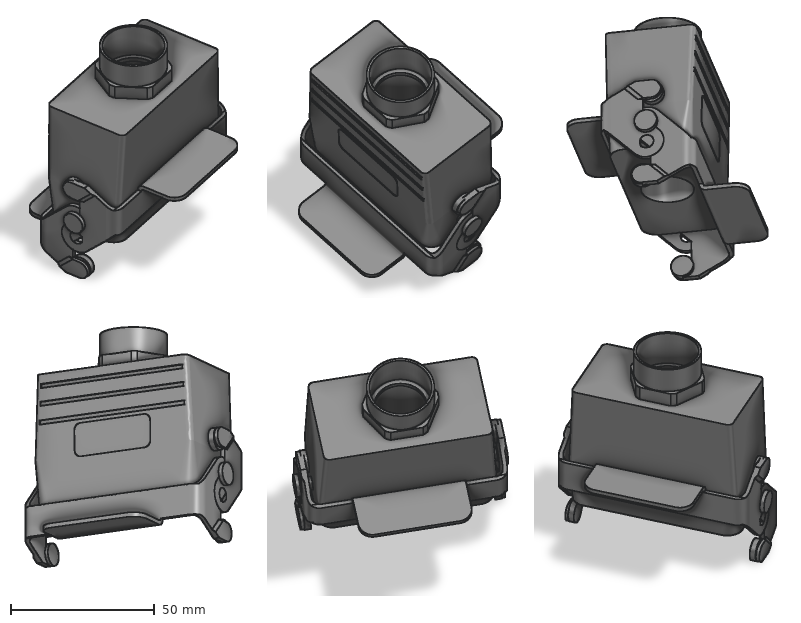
import cadquery as cq
import math

hood_height = 47.8
shoulder_height = 17.0
top_half_x = 16.15
bottom_half_x = 14.8
top_half_y = 29.95
bottom_half_y = 31.4
top_corner_radius = 1.95
bottom_corner_radius = 5.6
entry_diameter = 18.5

groove_tops = (44.4, 38.0, 31.35)
groove_width = 1.5
groove_floor_x = -15.2
badge_length = 30.1
badge_height = 12.0
badge_bottom = 16.5
badge_radius = 2.4
badge_depth = 0.15

pin_height = 7.45
pin_diameter = 4.7
pin_head_diameter = 8.0
pin_head_thickness = 1.6
pin_root_depth = 1.6
pin_head_span = 75.0
pin_reach = pin_head_span / 2

gland_top = 61.9
hex_height = 5.0
hex_across_flats = 24.2
hex_rounding_diameter = 26.8
sleeve_diameter = 23.6
sleeve_bore = 21.8
gland_floor_thickness = 1.6

sheet = 1.6
lever_half_y = 35.5
band_x = -16.9
band_top = -6.9
band_bottom = -17.9
bend_radius = 4.4
lobe_radius = 6.1
pivot_hole_diameter = 5.0
plate_edge_x = -1.4
slant_start_x = -15.1
hook_flat_x = -3.9
hook_center_x = 1.7
hook_radius = 3.45
hook_bottom = -23.9
pad_height = 0.7
ramp_run = 1.4
ramp_offset = -13.95
stop_diameter = 8.0
stop_inner_y = 32.8
stop_thickness = 2.2

handle_span = 65.0
handle_half_y = 20.1
handle_corner_radius = 5.0
handle_bend_radius = 0.95

lever_turn_height = pin_height / 2

diagonal = math.sqrt(0.5)
handle_reach = handle_span / 2
lobe_tangent = lobe_radius * diagonal
hook_center_z = hook_bottom + hook_radius
hook_top = hook_bottom + 2 * hook_radius


def wall_half_x(z):
    """Half width of the hood in X at height z."""
    return bottom_half_x + (top_half_x - bottom_half_x) * z / hood_height


def rounded_rectangle(half_x, half_y, radius):
    """Sketch of a rectangle about the origin with rounded corners."""
    return cq.Sketch().rect(2 * half_x, 2 * half_y).vertices().fillet(radius)


def tapered_block(lower, upper, z_low, z_high):
    """Loft between two rounded rectangles."""
    lower_placed = lower.moved(cq.Location(cq.Vector(0, 0, z_low)))
    upper_placed = upper.moved(cq.Location(cq.Vector(0, 0, z_high)))
    return cq.Workplane("XY").placeSketch(lower_placed, upper_placed).loft(ruled=True)


def y_cylinder(x, z, diameter, y_start, y_end):
    """Round bar along Y."""
    return (
        cq.Workplane("XZ", origin=(x, y_start, z))
        .circle(diameter / 2)
        .extrude(y_start - y_end)
    )


def z_cylinder(diameter, z_start, z_end):
    """Round bar along the cable entry axis."""
    return cq.Workplane("XY").workplane(offset=z_start).circle(diameter / 2).extrude(z_end - z_start)


def make_grooves():
    """Cutters with one upright floor, so the grooves get shallower down the leaning wall."""
    outer_x = -2 * top_half_x
    grooves = cq.Workplane("XY")
    for groove_top in groove_tops:
        taper = (hood_height - groove_top) / (hood_height - shoulder_height)
        half_y = top_half_y + (bottom_half_y - top_half_y) * taper - top_corner_radius
        groove = (
            cq.Workplane("XY", origin=(outer_x, 0, groove_top - groove_width))
            .box(groove_floor_x - outer_x, 2 * half_y, groove_width, centered=(False, True, False))
        )
        grooves = grooves.add(groove)
    return grooves.combine()


def make_badge():
    """Shallow rounded pocket that follows the lean of the -X wall."""
    middle_z = badge_bottom + badge_height / 2
    lean = math.atan2(top_half_x - bottom_half_x, hood_height)
    plane = cq.Plane(
        origin=(-wall_half_x(middle_z), 0, middle_z),
        xDir=(0, 1, 0),
        normal=(math.cos(lean), 0, math.sin(lean)),
    )
    outline = cq.Sketch().rect(badge_length, badge_height).vertices().fillet(badge_radius)
    return cq.Workplane(plane).workplane(offset=-badge_depth).placeSketch(outline).extrude(2 * badge_depth)


def add_pins(body):
    """Headed locking pin on the middle of each end wall."""
    root_y = bottom_half_y - pin_root_depth
    head_inner_y = pin_reach - pin_head_thickness
    for side in (-1, 1):
        shank = y_cylinder(0, pin_height, pin_diameter, side * root_y, side * pin_reach)
        head = y_cylinder(0, pin_height, pin_head_diameter, side * head_inner_y, side * pin_reach)
        body = body.union(shank).union(head)
    return body


def make_housing():
    """Tapered hood with its two locking pins and the cable entry hole."""
    shoulder_half_x = wall_half_x(shoulder_height)
    bottom = rounded_rectangle(bottom_half_x, bottom_half_y, bottom_corner_radius)
    shoulder = rounded_rectangle(shoulder_half_x, bottom_half_y, top_corner_radius)
    top = rounded_rectangle(top_half_x, top_half_y, top_corner_radius)
    body = tapered_block(bottom, shoulder, 0, shoulder_height)
    body = body.union(tapered_block(shoulder, top, shoulder_height, hood_height))
    body = body.cut(make_grooves()).cut(make_badge())
    body = add_pins(body)
    return body.cut(z_cylinder(entry_diameter, 0, hood_height))


def make_gland():
    """Hexagon with rounded corners, and a thin sleeve above it."""
    hex_top = hood_height + hex_height
    hexagon = (
        cq.Workplane("XY")
        .workplane(offset=hood_height)
        .polygon(6, hex_across_flats, circumscribed=True)
        .extrude(hex_height)
    )
    hexagon = hexagon.intersect(z_cylinder(hex_rounding_diameter, hood_height, hex_top))
    gland = hexagon.union(z_cylinder(sleeve_diameter, hex_top, gland_top))
    gland = gland.cut(z_cylinder(sleeve_bore, hood_height + gland_floor_thickness, gland_top))
    return gland.cut(z_cylinder(entry_diameter, hood_height, gland_top))


def lever_side_outline():
    """Side outline of the lever in XZ: band end, lobe round the pivot hole, and hook."""
    return (
        cq.Workplane("XZ")
        .moveTo(band_x, band_bottom)
        .lineTo(band_x, band_top)
        .lineTo(band_top - 2 * lobe_tangent, band_top)
        .lineTo(-lobe_tangent, lobe_tangent)
        .threePointArc((lobe_tangent, lobe_tangent), (lobe_tangent, -lobe_tangent))
        .lineTo(plate_edge_x, plate_edge_x - 2 * lobe_tangent)
        .lineTo(plate_edge_x, hook_top)
        .lineTo(hook_center_x, hook_top)
        .threePointArc(
            (hook_center_x + hook_radius, hook_center_z),
            (hook_center_x, hook_bottom),
        )
        .lineTo(hook_flat_x, hook_bottom)
        .lineTo(slant_start_x, band_bottom)
        .close()
    )


def make_strap():
    """Sheet bent into a U around the hood and trimmed to the side outline."""
    open_end_x = hook_center_x + 2 * hook_radius
    depth = hook_bottom - lobe_radius
    outer = (
        cq.Workplane("XY", origin=(0, 0, lobe_radius))
        .moveTo((band_x + open_end_x) / 2, 0)
        .rect(open_end_x - band_x, 2 * lever_half_y)
        .extrude(depth)
        .edges("|Z and <X")
        .fillet(bend_radius)
    )
    inner_x = band_x + sheet
    inner = (
        cq.Workplane("XY", origin=(0, 0, lobe_radius))
        .moveTo((inner_x + open_end_x) / 2, 0)
        .rect(open_end_x - inner_x, 2 * (lever_half_y - sheet))
        .extrude(depth)
        .edges("|Z and <X")
        .fillet(bend_radius - sheet)
    )
    side_prism = lever_side_outline().extrude(lever_half_y, both=True)
    return outer.cut(inner).intersect(side_prism)


def make_hook_pad():
    """Raised outer skin of the hook at the -Y plate, with a 45 degree ramp up to it."""
    hook_zone = (
        cq.Workplane("XY", origin=(0, 0, hook_bottom))
        .box(handle_span, 4 * lever_half_y, 2 * hook_radius, centered=(True, True, False))
    )
    skin = lever_side_outline().extrude(pad_height).translate((0, -lever_half_y, 0))
    skin = skin.intersect(hook_zone)
    ramp_plane = cq.Plane(
        origin=(-ramp_offset / 2, -lever_half_y, ramp_offset / 2),
        xDir=(diagonal, 0, -diagonal),
        normal=(diagonal, 0, diagonal),
    )
    pad_length = handle_span
    ramp = (
        cq.Workplane(ramp_plane)
        .polyline([(0, 0), (ramp_run, -pad_height), (pad_length, -pad_height), (pad_length, 0)])
        .close()
        .extrude(pad_length, both=True)
    )
    return skin.intersect(ramp)


def make_handle():
    """Flat grip bent outward from the lower edge of the band."""
    bend_x = band_x - handle_bend_radius
    grip_top = band_bottom - handle_bend_radius
    outer_bend = handle_bend_radius + sheet
    grip = (
        cq.Workplane("XZ")
        .moveTo(band_x, band_bottom)
        .threePointArc(
            (bend_x + handle_bend_radius * diagonal, band_bottom - handle_bend_radius * diagonal),
            (bend_x, grip_top),
        )
        .lineTo(-handle_reach, grip_top)
        .lineTo(-handle_reach, grip_top - sheet)
        .lineTo(bend_x, grip_top - sheet)
        .threePointArc(
            (bend_x + outer_bend * diagonal, band_bottom - outer_bend * diagonal),
            (band_x + sheet, band_bottom),
        )
        .close()
        .extrude(handle_half_y, both=True)
    )
    return grip.edges("|Z and <X").fillet(handle_corner_radius)


def make_lever():
    """Whole lever around its own pivot hole, not yet fitted to the other lever."""
    lever = make_strap().union(make_handle())
    stop = y_cylinder(
        hook_center_x,
        hook_bottom + stop_diameter / 2,
        stop_diameter,
        -stop_inner_y,
        -stop_inner_y - stop_thickness,
    )
    for side_part in (make_hook_pad(), stop):
        lever = lever.union(side_part).union(side_part.mirror("XZ"))
    pivot_hole = y_cylinder(0, 0, pivot_hole_diameter, -pin_reach, pin_reach)
    return lever.cut(pivot_hole)


def lap_slab():
    """Space holding the inner half of the sheet of both lever plates."""
    return cq.Workplane("XY").box(2 * handle_span, 2 * lever_half_y - sheet, 2 * handle_span)


def fit_levers(left, right):
    """Half-lap the crossing plates: the left lever keeps the inner half, the right the outer half."""
    slab = lap_slab()
    fitted_left = left.cut(right.cut(slab))
    fitted_right = right.cut(left.intersect(slab))
    return fitted_left, fitted_right


housing = make_housing()
gland = make_gland()

full_lever = make_lever()
pin_clearance = y_cylinder(0, pin_height, pivot_hole_diameter, -pin_reach, pin_reach)
turn_start = (0, 0, lever_turn_height)
turn_end = (0, 1, lever_turn_height)
left_blank = full_lever.translate((0, 0, pin_height))
right_blank = left_blank.rotate(turn_start, turn_end, 180).cut(pin_clearance)
left_lever, right_lever = fit_levers(left_blank, right_blank)

bodies = (housing, gland, left_lever, right_lever)
result = cq.Compound.makeCompound([body.solids().val() for body in bodies])